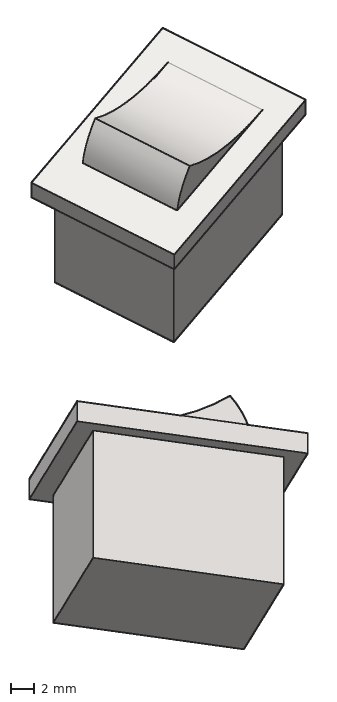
import cadquery as cq
import math

bezel_width = 14.75
bezel_length = 20.75
bezel_thickness = 2.0

body_width = 12.3
body_length = 17.15
body_depth = 12.5

rocker_width = 9.75
rocker_height = 4.03
rocker_back_y = 7.39
rocker_crest_y = -4.1
rocker_front_y = -6.1
front_bulge = 0.33


def make_bezel():
    return cq.Workplane("XY").box(
        bezel_width, bezel_length, bezel_thickness, centered=(True, True, False)
    ).translate((0, 0, -bezel_thickness))


def make_body():
    return cq.Workplane("XY").box(
        body_width, body_length, body_depth, centered=(True, True, False)
    ).translate((0, 0, -bezel_thickness - body_depth))


def make_rocker():
    top_run = rocker_back_y - rocker_crest_y
    top_radius = (top_run**2 + rocker_height**2) / (2 * rocker_height)
    half_sweep = math.atan2(rocker_height, top_run)
    top_middle = (
        rocker_back_y - top_radius * math.sin(half_sweep),
        top_radius * (1 - math.cos(half_sweep)),
    )

    front_run = rocker_crest_y - rocker_front_y
    front_chord = math.hypot(front_run, rocker_height)
    front_middle = (
        (rocker_crest_y + rocker_front_y) / 2 - front_bulge * rocker_height / front_chord,
        rocker_height / 2 + front_bulge * front_run / front_chord,
    )

    return (
        cq.Workplane("YZ")
        .moveTo(rocker_back_y, 0)
        .threePointArc(top_middle, (rocker_crest_y, rocker_height))
        .threePointArc(front_middle, (rocker_front_y, 0))
        .close()
        .extrude(rocker_width / 2, both=True)
    )


result = make_bezel().union(make_body()).union(make_rocker())